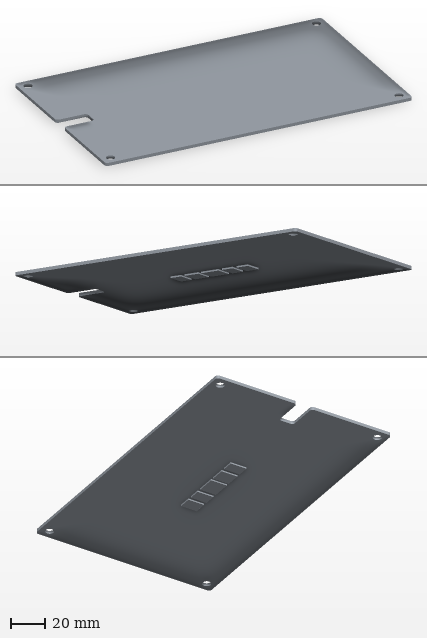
import cadquery as cq

plate_width = 120.0
plate_length = 200.0
plate_thickness = 2.0
corner_radius = 2.0

hole_diameter = 5.5
hole_edge_distance = 6.0

slot_width = 10.0
slot_depth = 20.0

pad_height = 1.0
pad_min_x = -4.5
pad_max_x = 6.5
pad_spans = [(-26.0, -18.5), (-16.0, -6.5), (-4.5, 7.8), (10.5, 18.0), (20.5, 28.8)]


def slotted_plate():
    """Plate with its slot; every corner of the outline is rounded alike."""
    half_width = plate_width / 2
    half_length = plate_length / 2
    half_slot = slot_width / 2
    slot_end_y = -half_length + slot_depth
    outline = [
        (-half_width, -half_length),
        (-half_slot, -half_length),
        (-half_slot, slot_end_y),
        (half_slot, slot_end_y),
        (half_slot, -half_length),
        (half_width, -half_length),
        (half_width, half_length),
        (-half_width, half_length),
    ]
    blank = cq.Workplane("XY").polyline(outline).close().extrude(plate_thickness)
    return blank.edges("|Z").fillet(corner_radius)


def mounting_holes():
    """Cutting cylinders for the four through holes."""
    spacing_x = plate_width - 2 * hole_edge_distance
    spacing_y = plate_length - 2 * hole_edge_distance
    return (
        cq.Workplane("XY")
        .rect(spacing_x, spacing_y, forConstruction=True)
        .vertices()
        .circle(hole_diameter / 2)
        .extrude(plate_thickness)
    )


def underside_pad(min_y, max_y):
    """Plain raised pad hanging from the bottom face of the plate."""
    return (
        cq.Workplane("XY")
        .center((pad_min_x + pad_max_x) / 2, (min_y + max_y) / 2)
        .rect(pad_max_x - pad_min_x, max_y - min_y)
        .extrude(-pad_height)
    )


result = slotted_plate().cut(mounting_holes())
for low_y, high_y in pad_spans:
    result = result.union(underside_pad(low_y, high_y))